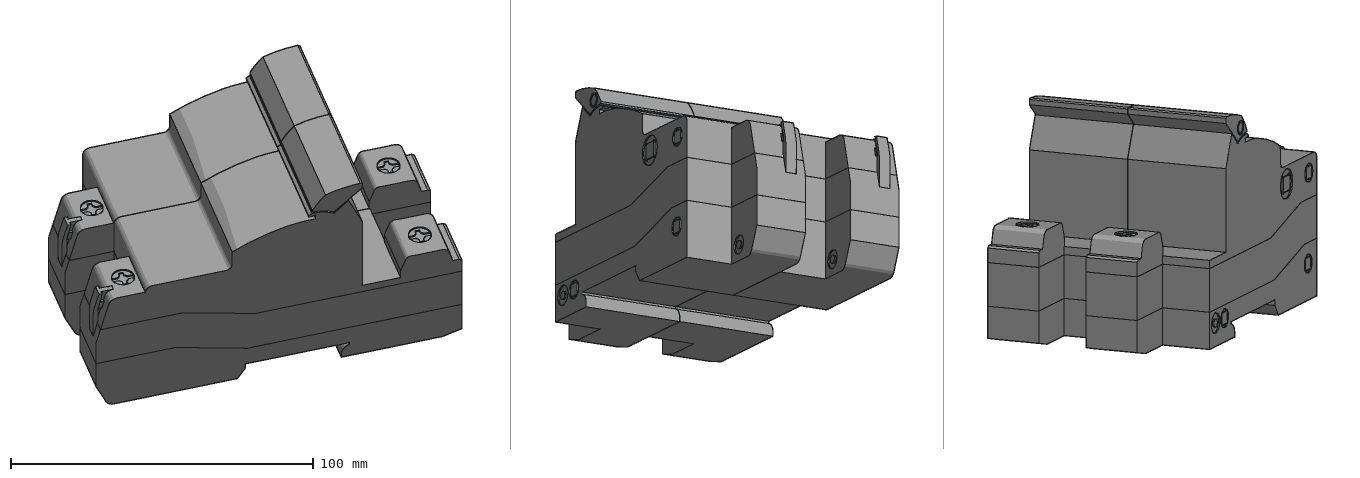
import cadquery as cq
import math


POLE_COUNT = 2
POLE_WIDTH = 35.4
POLE_GAP = 0.1
POLE_PITCH = POLE_WIDTH + POLE_GAP
LENGTH = 126.5

HOUSING_FRONT = 17.0
HOUSING_BACK = 105.5
FRONT_SHELF_Z = 49.3
FRONT_SHELF_ROUND = 2.7
BACK_SHELF_Z = 30.2

TOWER_FRONT = 47.0
TOWER_FRONT_Z = 57.0
TOWER_FOOT_ROUND = 2.3
TOWER_BACK = 92.1
TOWER_BACK_Z = 58.6
LIP_FRONT = 73.5
LIP_UNDERSIDE_Z = 65.7
LIP_THICKNESS = 0.5
LIP_NOTCH_BACK = 75.9

RAIL_FRONT = 51.6
RAIL_BACK = 87.5
RAIL_DEPTH = 5.8
RAIL_HOOK = 84.8

TERMINAL_LEFT = 17.0
TERMINAL_WIDTH = POLE_WIDTH - TERMINAL_LEFT
TERMINAL_MIDDLE = TERMINAL_LEFT + TERMINAL_WIDTH / 2
FRONT_TERMINAL_Z = 47.0
BACK_TERMINAL_Z = 38.8
BACK_STEP_Z = 33.0
BACK_TERMINAL_OVERLAP = 0.3

PANEL_FOOT_Z = 29.0
PANEL_TOP_Y = 4.9
PANEL_ROUND = 3.2
PANEL_ANGLE = math.atan2(FRONT_TERMINAL_Z - PANEL_FOOT_Z, PANEL_TOP_Y)
PANEL_TANGENT = PANEL_ROUND * math.tan(PANEL_ANGLE / 2)
PANEL_ROUND_START = (PANEL_TOP_Y + PANEL_TANGENT, FRONT_TERMINAL_Z)
PANEL_ROUND_END = (
    PANEL_TOP_Y - PANEL_TANGENT * math.cos(PANEL_ANGLE),
    FRONT_TERMINAL_Z - PANEL_TANGENT * math.sin(PANEL_ANGLE),
)

SEAM_RISE = 7.0
BASE_SEAM_BACK_Z = 12.6
BASE_SEAM_RAMP = (27.3, 52.2)
BAND_HEIGHT = 14.8
COVER_SEAM_BACK_Z = BASE_SEAM_BACK_Z + BAND_HEIGHT
COVER_SEAM_RAMP = (30.0, 55.2)

HOLDER_MIDDLE = 30.0
HOLDER_PLATE_WIDTH = 4.0
HOLDER_WEB_WIDTH = 1.8
HOLDER_LUG_WIDTH = 3.5
HOLDER_PLATE_BACK = 1.8
HOLDER_LUG_BOTTOM = 40.5
HOLDER_LUG_TOP = 43.3

MARK_DEPTH = 0.5
RIVET_RADIUS = 3.2
RIVET_SQUARE = 4.3
RIVET_CENTERS = [(23.5, 43.1), (24.0, 12.4), (93.1, 8.1)]
LARGE_RIVET_RADIUS = 5.0
LARGE_RIVET_SQUARE = 5.3
LARGE_RIVET_EAR_RADIUS = 0.4
LARGE_RIVET_CENTER = (42.0, 43.1)
RING_INNER_RADIUS = 1.4
HOUSING_RING_CENTER = (100.6, 8.0)
HOUSING_RING_RADIUS = 3.4
TERMINAL_RING_CENTER = (12.1, 5.6)
TERMINAL_RING_RADIUS = 3.2
HANDLE_RING_CENTER = (79.8, 70.0)
HANDLE_RING_RADIUS = 2.4
HANDLE_RING_INNER_RADIUS = 1.9
HANDLE_RING_DEPTH = 0.1

SCREW_RADIUS = 3.8
FRONT_SCREW_Y = 12.1
BACK_SCREW_Y = 114.7
CROSS_DEPTH = 0.5
CROSS_LONG_ARM = (1.5, 7.5)
CROSS_SHORT_ARM = (5.6, 1.5)
CROSS_CENTER_DIAGONAL = 4.8


def side_sketch(x):
    """Workplane at this X whose local axes are Y and Z."""
    return cq.Workplane("YZ", origin=(x, 0, 0))


def slab(points, width, x=0):
    """Polygon of (Y, Z) points extruded along +X."""
    return side_sketch(x).polyline(points).close().extrude(width)


def centered_slab(points, width, middle):
    return slab(points, width, middle - width / 2)


def disc(x, center, radius, depth):
    return side_sketch(x).center(*center).circle(radius).extrude(depth)


def housing():
    return (
        side_sketch(0)
        .moveTo(HOUSING_FRONT, 0)
        .lineTo(HOUSING_FRONT, FRONT_SHELF_Z - FRONT_SHELF_ROUND)
        .radiusArc((HOUSING_FRONT + FRONT_SHELF_ROUND, FRONT_SHELF_Z), FRONT_SHELF_ROUND)
        .lineTo(TOWER_FRONT - TOWER_FOOT_ROUND, FRONT_SHELF_Z)
        .radiusArc((TOWER_FRONT, FRONT_SHELF_Z + TOWER_FOOT_ROUND), -TOWER_FOOT_ROUND)
        .lineTo(TOWER_FRONT, TOWER_FRONT_Z)
        .threePointArc((54.9, 60.5), (65.8, 63.5))
        .threePointArc((70.8, 64.1), (LIP_NOTCH_BACK, 64.3))
        .lineTo(LIP_NOTCH_BACK, LIP_UNDERSIDE_Z)
        .lineTo(LIP_FRONT, LIP_UNDERSIDE_Z)
        .lineTo(LIP_FRONT, LIP_UNDERSIDE_Z + LIP_THICKNESS)
        .lineTo(74.6, 66.9)
        .threePointArc((78.7, 66.5), (82.2, 65.0))
        .lineTo(87.3, 69.5)
        .lineTo(TOWER_BACK, TOWER_BACK_Z)
        .lineTo(TOWER_BACK, BACK_SHELF_Z)
        .lineTo(HOUSING_BACK, BACK_SHELF_Z)
        .lineTo(HOUSING_BACK, 0)
        .lineTo(RAIL_HOOK, 0)
        .lineTo(RAIL_HOOK, 1.9)
        .threePointArc((85.5, 3.7), (RAIL_BACK, 5.0))
        .lineTo(RAIL_BACK, RAIL_DEPTH)
        .lineTo(RAIL_FRONT, RAIL_DEPTH)
        .lineTo(RAIL_FRONT, 3.9)
        .lineTo(48.8, 0)
        .close()
        .extrude(POLE_WIDTH)
    )


def panel_wedge():
    """The corner that the sloping panel takes off the front terminal."""
    return (
        side_sketch(TERMINAL_LEFT)
        .moveTo(0, FRONT_TERMINAL_Z)
        .lineTo(*PANEL_ROUND_START)
        .radiusArc(PANEL_ROUND_END, -PANEL_ROUND)
        .lineTo(0, PANEL_FOOT_Z)
        .close()
        .extrude(TERMINAL_WIDTH)
    )


def front_terminal():
    block = (
        side_sketch(TERMINAL_LEFT)
        .moveTo(HOUSING_FRONT, 0)
        .lineTo(5.6, 0)
        .threePointArc((4.3, 0.6), (3.4, 1.8))
        .lineTo(0, 9.2)
        .lineTo(0, FRONT_TERMINAL_Z)
        .lineTo(HOUSING_FRONT, FRONT_TERMINAL_Z)
        .close()
        .extrude(TERMINAL_WIDTH)
    )
    return block.cut(panel_wedge())


def back_terminal():
    inner_end = HOUSING_BACK - BACK_TERMINAL_OVERLAP
    return (
        side_sketch(TERMINAL_LEFT)
        .moveTo(inner_end, RAIL_DEPTH)
        .lineTo(inner_end, 33.3)
        .lineTo(107.0, 37.7)
        .threePointArc((107.8, 38.6), (109.7, BACK_TERMINAL_Z))
        .lineTo(119.7, BACK_TERMINAL_Z)
        .threePointArc((121.3, 38.2), (122.3, 36.7))
        .lineTo(123.3, BACK_STEP_Z)
        .lineTo(125.5, BACK_STEP_Z)
        .lineTo(LENGTH, 32.4)
        .lineTo(LENGTH, 1.8)
        .lineTo(119.7, 0)
        .lineTo(inner_end, 0)
        .close()
        .extrude(TERMINAL_WIDTH)
    )


def square_mark(center, radius, side, ear_radius=0):
    """Round recess around a flush square, which may have small round ears at its corners."""
    sketch = side_sketch(0).center(*center)
    square = sketch.rect(side, side).extrude(MARK_DEPTH)
    if ear_radius:
        ears = sketch.rect(side, side, forConstruction=True).vertices().circle(ear_radius)
        square = square.union(ears.extrude(MARK_DEPTH))
    return disc(0, center, radius, MARK_DEPTH).cut(square)


def ring_mark(x, center, radius, inner_radius, depth):
    return disc(x, center, radius, depth).cut(disc(x, center, inner_radius, depth))


def screw_mark(y, z):
    """Sunk screw head with a deeper cross slot."""
    head = cq.Workplane("XY", origin=(TERMINAL_MIDDLE, y, z - MARK_DEPTH))
    slot_floor = head.workplane(offset=-CROSS_DEPTH)
    cross = (
        slot_floor.rect(*CROSS_LONG_ARM).extrude(CROSS_DEPTH)
        .union(slot_floor.rect(*CROSS_SHORT_ARM).extrude(CROSS_DEPTH))
        .union(slot_floor.polygon(4, CROSS_CENTER_DIAGONAL).extrude(CROSS_DEPTH))
    )
    return head.circle(SCREW_RADIUS).extrude(MARK_DEPTH).union(cross)


def pole_shell():
    """Housing and both terminals with all their recesses, before the seams divide them."""
    marks = [
        square_mark(LARGE_RIVET_CENTER, LARGE_RIVET_RADIUS, LARGE_RIVET_SQUARE, LARGE_RIVET_EAR_RADIUS),
        ring_mark(0, HOUSING_RING_CENTER, HOUSING_RING_RADIUS, RING_INNER_RADIUS, MARK_DEPTH),
        ring_mark(TERMINAL_LEFT, TERMINAL_RING_CENTER, TERMINAL_RING_RADIUS, RING_INNER_RADIUS, MARK_DEPTH),
        screw_mark(FRONT_SCREW_Y, FRONT_TERMINAL_Z),
        screw_mark(BACK_SCREW_Y, BACK_TERMINAL_Z),
    ]
    for center in RIVET_CENTERS:
        marks.append(square_mark(center, RIVET_RADIUS, RIVET_SQUARE))
    shell = housing().union(front_terminal()).union(back_terminal())
    for mark in marks:
        shell = shell.cut(mark)
    return shell


def below_seam(back_z, ramp):
    """All the space of a pole under a seam."""
    ramp_front, ramp_back = ramp
    front_z = back_z + SEAM_RISE
    outline = [
        (0, 0),
        (0, front_z),
        (ramp_front, front_z),
        (ramp_back, back_z),
        (LENGTH, back_z),
        (LENGTH, 0),
    ]
    return slab(outline, POLE_WIDTH)


def label_holder():
    """Face plate and lug on a narrow web, trimmed to sit on the sloping panel."""
    face = [
        (0, PANEL_FOOT_Z),
        (0, 39.0),
        (0.3, 40.9),
        (1.8, 46.3),
        (2.0, FRONT_TERMINAL_Z),
    ]
    plate_back = [
        (3.2, FRONT_TERMINAL_Z),
        (HOLDER_PLATE_BACK, HOLDER_LUG_BOTTOM),
        (HOLDER_PLATE_BACK, PANEL_FOOT_Z),
    ]
    web_back = [PANEL_ROUND_START, (PANEL_ROUND_START[0], PANEL_FOOT_Z)]
    lug_outline = [
        (HOLDER_PLATE_BACK, HOLDER_LUG_BOTTOM),
        (HOLDER_PLATE_BACK, HOLDER_LUG_TOP),
        (PANEL_TOP_Y, HOLDER_LUG_TOP),
        (PANEL_TOP_Y, HOLDER_LUG_BOTTOM),
    ]
    plate = centered_slab(face + plate_back, HOLDER_PLATE_WIDTH, HOLDER_MIDDLE)
    web = centered_slab(face + web_back, HOLDER_WEB_WIDTH, HOLDER_MIDDLE)
    lug = centered_slab(lug_outline, HOLDER_LUG_WIDTH, HOLDER_MIDDLE)
    return plate.union(web).union(lug).intersect(panel_wedge())


def handle():
    body = (
        side_sketch(0)
        .moveTo(82.2, 65.7)
        .threePointArc((78.7, 67.0), (74.8, 67.5))
        .lineTo(74.8, 68.2)
        .threePointArc((76.8, 71.2), (79.3, 74.0))
        .threePointArc((84.1, 75.3), (91.3, 76.0))
        .lineTo(TOWER_BACK, 75.6)
        .lineTo(TOWER_BACK, 73.9)
        .close()
        .extrude(POLE_WIDTH)
    )
    ring = ring_mark(
        0, HANDLE_RING_CENTER, HANDLE_RING_RADIUS, HANDLE_RING_INNER_RADIUS, HANDLE_RING_DEPTH
    )
    return body.cut(ring)


def pole_bodies():
    shell = pole_shell()
    below_base_seam = below_seam(BASE_SEAM_BACK_Z, BASE_SEAM_RAMP)
    below_cover_seam = below_seam(COVER_SEAM_BACK_Z, COVER_SEAM_RAMP)
    base = shell.intersect(below_base_seam)
    band = shell.intersect(below_cover_seam).cut(below_base_seam)
    cover = shell.cut(below_cover_seam)
    return [base, band, cover, handle(), label_holder()]


one_pole = pole_bodies()
solids = []
for index in range(POLE_COUNT):
    for body in one_pole:
        solids.append(body.translate((index * POLE_PITCH, 0, 0)).val())

result = cq.Compound.makeCompound(solids)